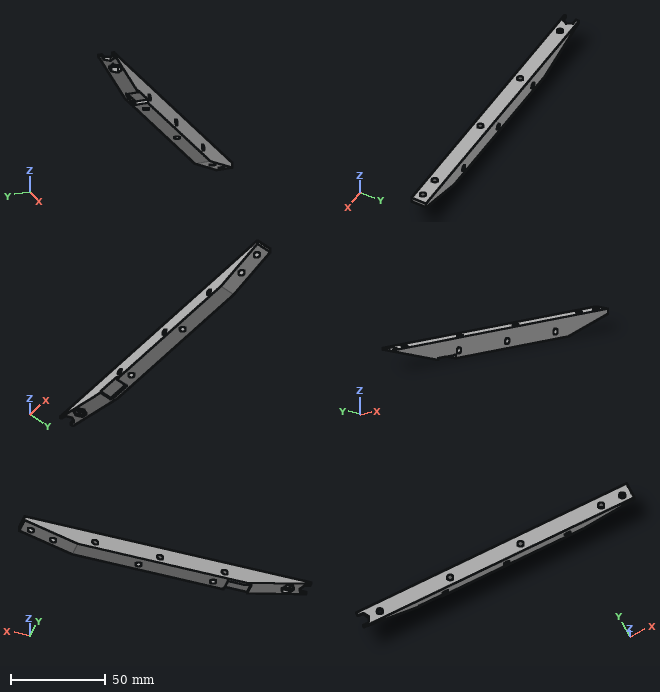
import cadquery as cq
import math

length = 161.2
width = 9.0
height = 11.0

left_tip_height = 1.0
left_ramp_length = 36.3
right_tip_height = 2.9
right_ramp_length = 29.8

hole_diameter = 3.2

hole_line_y = 4.0
first_vertical_x = 11.6
vertical_pitch = 41.9
end_hole_inset = 5.2
end_hole_pitch = 12.5
last_vertical_x = length - end_hole_inset
vertical_xs = [first_vertical_x + i * vertical_pitch for i in range(3)]
vertical_xs += [last_vertical_x - end_hole_pitch, last_vertical_x]

cross_z = 4.0
first_cross_x = 48.7
cross_pitch = 36.5
cross_xs = [first_cross_x + i * cross_pitch for i in range(3)]

nut_flats = 6.1
nut_corner_diameter = nut_flats / math.cos(math.pi / 6)
nut_seat_roof = 2.0
end_notch_depth = 5.0

relief_start_x = 33.0
relief_end_x = 46.3
relief_height = 2.0
relief_wall = 2.0


def bar():
    """Side profile with tapered ends, extruded across the width."""
    outline = [
        (0, height),
        (0, height - left_tip_height),
        (left_ramp_length, 0),
        (length - right_ramp_length, 0),
        (length, height - right_tip_height),
        (length, height),
    ]
    return cq.Workplane("XZ").polyline(outline).close().extrude(-width)


def vertical_holes():
    points = [(x, hole_line_y) for x in vertical_xs]
    return cq.Workplane("XY").pushPoints(points).circle(hole_diameter / 2).extrude(height)


def cross_holes():
    points = [(x, cross_z) for x in cross_xs]
    return cq.Workplane("XZ").pushPoints(points).circle(hole_diameter / 2).extrude(-width)


def hexagon(center_x, depth):
    """Hexagonal prism rising from the base plane."""
    return (
        cq.Workplane("XY")
        .center(center_x, hole_line_y)
        .polygon(6, nut_corner_diameter)
        .extrude(depth)
    )


def nut_seat():
    """Seat opening onto the left ramp, around the first vertical hole."""
    return hexagon(first_vertical_x, height - nut_seat_roof)


def end_notch():
    """Through notch in the left end, with the pointed end of a hexagon."""
    hexagon_x = end_notch_depth - nut_corner_diameter / 2
    mouth = cq.Workplane("XY").box(hexagon_x, nut_flats, height, centered=(False, True, False))
    return hexagon(hexagon_x, height).union(mouth.translate((0, hole_line_y, 0)))


def relief():
    return cq.Workplane("XY").box(
        relief_end_x - relief_start_x,
        width - relief_wall,
        relief_height,
        centered=False,
    ).translate((relief_start_x, 0, 0))


result = bar()
for cutter in (vertical_holes(), cross_holes(), nut_seat(), end_notch(), relief()):
    result = result.cut(cutter)